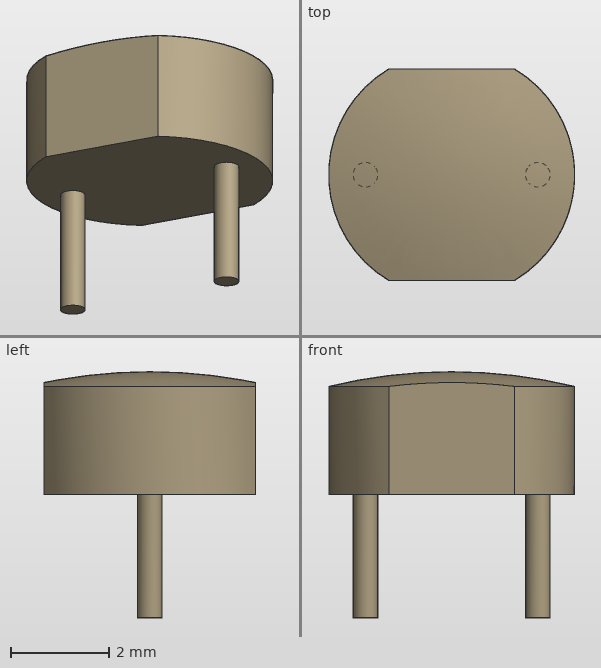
import cadquery as cq

body_diameter = 5.0
width_across_flats = 4.3
total_height = 5.0
pin_length = 2.5
dome_rise = 0.3
pin_diameter = 0.5
pin_spacing = 3.5

body_radius = body_diameter / 2
crown_height = total_height - pin_length
dome_radius = (body_radius**2 + dome_rise**2) / (2 * dome_rise)


def domed_body():
    """Round body with a shallow spherical top and two flats facing -Y and +Y."""
    cylinder = cq.Workplane("XY").circle(body_radius).extrude(crown_height)
    sphere = cq.Workplane("XY").sphere(dome_radius).translate((0, 0, crown_height - dome_radius))
    flats = cq.Workplane("XY").rect(body_diameter, width_across_flats).extrude(crown_height)
    return cylinder.intersect(sphere).intersect(flats)


def pins():
    """Two straight round leads hanging below the body."""
    centres = [(-pin_spacing / 2, 0), (pin_spacing / 2, 0)]
    return cq.Workplane("XY").pushPoints(centres).circle(pin_diameter / 2).extrude(-pin_length)


result = domed_body().union(pins())